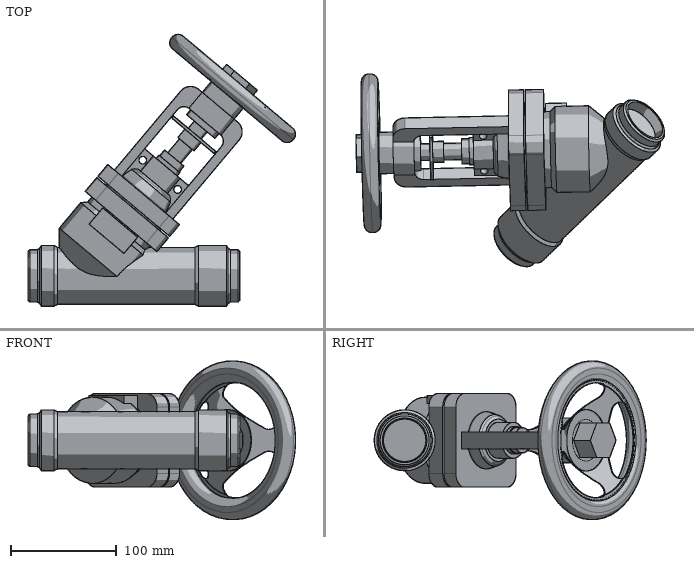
import cadquery as cq
import math

pipe_length = 200.0
pipe_radius = 27.0
collar_radius = 28.8
left_collar_end = 24.5
right_collar_end = 39.0
collar_taper = 3.5
collar_shoulder = 12.7
spigot_radius = 24.9
spigot_length = 8.8
spigot_chamfer = 1.8
flare_length = 2.3
flare_rise = 1.3
socket_mouth_radius = 21.0
socket_floor_radius = 20.0
socket_depth = 10.0

stem_angle = 50.0
stem_foot_x = -55.2

body_cone_top = 24.7
body_shoulder = 56.2
neck_bottom = 61.0
lower_flange_bottom = 67.0
lower_flange_top = 84.0
upper_flange_bottom = 85.7
upper_flange_top = 100.2
dome_foot = 101.2
dome_rim = 111.2
dome_shoulder = 113.2
dome_top = 115.2
ear_top = 134.0
gland_top = ear_top
packing_top = 138.0
follower_top = 145.2
stem_collar_bottom = 162.2
stop_plate_bottom = 172.5
stop_plate_top = 175.2
bush_bottom = 184.0
sleeve_bottom = 190.0
yoke_top = 209.7
wheel_bottom = 223.0
wheel_top = 238.7
nut_top = 244.7

body_radius = 40.7
body_cone_angle = 40.0
body_cone_tip_radius = 12.0
neck_radius = 36.0
flange_side = 88.5
flange_corner = 13.0
gasket_radius = 33.5
pad_width = 43.0
pad_bottom = 45.7
pad_height = 20.0
pad_inner = 28.0
pad_outer = 42.4

dome_base_radius = 27.0
dome_rim_radius = 24.3
dome_shoulder_radius = 22.8
dome_top_radius = 20.0
gland_radius = 17.0
packing_radius = 13.0
follower_radius = 12.0
stem_radius = 8.0
stem_collar_radius = 10.0
bush_radius = 17.5
sleeve_radius = 21.3
spindle_nut_radius = 19.7
stop_plate_length = 52.0
stop_plate_end_width = 20.0
stop_plate_mid_width = 33.0

yoke_width = 72.0
yoke_opening = 54.0
yoke_thickness = 16.0
yoke_outer_corner = 12.0
yoke_inner_corner = 8.0
ear_thickness = 8.0
ear_hole_radius = 3.5
ear_hole_offset = 21.5
ear_hole_height = 124.5

wheel_radius = 75.0
rim_outer_flat = 68.2
rim_inner_flat = 62.6
rim_inner_radius = 54.8
hub_radius = 29.0
web_slope = 28.0
web_dish_radius = 53.0
web_outer_radius = 60.0
web_thickness = 1.0
spoke_count = 3
window_distance = 29.8
window_reach = 54.2
window_corner = 7.2
nut_across_corners = 38.0


def cylinder(radius, bottom, top):
    return cq.Workplane("XY").workplane(offset=bottom).circle(radius).extrude(top - bottom)


def spigot_end(x_end, side):
    """Profile points of one pipe end, from the collar shoulder to the socket floor on the axis.

    side is +1 for the end at +X and -1 for the end at -X.
    """
    spots = [
        (collar_shoulder, collar_radius),
        (spigot_length + flare_length, spigot_radius + flare_rise),
        (spigot_length, spigot_radius),
        (spigot_chamfer, spigot_radius),
        (0, spigot_radius - spigot_chamfer),
        (0, socket_mouth_radius),
        (socket_depth, socket_floor_radius),
        (socket_depth, 0),
    ]
    return [(x_end - side * inset, radius) for inset, radius in spots]


def make_pipe():
    half = pipe_length / 2
    left_collar = -half + left_collar_end
    right_collar = half - right_collar_end
    outline = spigot_end(-half, -1)[::-1]
    outline += [
        (left_collar, collar_radius),
        (left_collar + collar_taper, pipe_radius),
        (right_collar - collar_taper, pipe_radius),
        (right_collar, collar_radius),
    ]
    outline += spigot_end(half, 1)
    return cq.Workplane("XY").polyline(outline).close().revolve(360, (0, 0, 0), (1, 0, 0))


def make_body():
    cone_height = (body_radius - body_cone_tip_radius) / math.tan(math.radians(body_cone_angle))
    return (
        cq.Workplane("XZ")
        .moveTo(0, body_cone_top - cone_height)
        .lineTo(body_cone_tip_radius, body_cone_top - cone_height)
        .lineTo(body_radius, body_cone_top)
        .lineTo(body_radius, body_shoulder)
        .lineTo(neck_radius, neck_bottom)
        .lineTo(neck_radius, lower_flange_bottom)
        .lineTo(0, lower_flange_bottom)
        .close()
        .revolve(360, (0, 0, 0), (0, 1, 0))
    )


def make_pad():
    """Flat name-plate pad on the +Z side of the body."""
    pad = cq.Workplane("XY").box(
        pad_width, pad_outer - pad_inner, pad_height, centered=(True, False, False)
    )
    return pad.translate((0, pad_inner, pad_bottom))


def make_flange(bottom, top):
    return (
        cq.Workplane("XY")
        .workplane(offset=bottom)
        .rect(flange_side, flange_side)
        .extrude(top - bottom)
        .edges("|Z")
        .fillet(flange_corner)
    )


def make_dome():
    return (
        cq.Workplane("XZ")
        .moveTo(0, upper_flange_top)
        .lineTo(dome_base_radius, upper_flange_top)
        .lineTo(dome_base_radius, dome_foot)
        .lineTo(dome_rim_radius, dome_rim)
        .lineTo(dome_shoulder_radius, dome_shoulder)
        .lineTo(dome_top_radius, dome_top)
        .lineTo(0, dome_top)
        .close()
        .revolve(360, (0, 0, 0), (0, 1, 0))
    )


def make_stem():
    steps = [
        (gland_radius, dome_top, gland_top),
        (packing_radius, gland_top, packing_top),
        (follower_radius, packing_top, follower_top),
        (stem_radius, follower_top, bush_bottom),
        (stem_collar_radius, stem_collar_bottom, stop_plate_bottom),
        (bush_radius, bush_bottom, sleeve_bottom),
        (sleeve_radius, sleeve_bottom, yoke_top),
        (spindle_nut_radius, yoke_top, wheel_bottom),
    ]
    stem = make_dome()
    for radius, bottom, top in steps:
        stem = stem.union(cylinder(radius, bottom, top))
    return stem


def make_stop_plate():
    """Plate across the stem whose two long edges swell smoothly towards the middle."""
    x = stop_plate_length / 2
    end_y = stop_plate_end_width / 2
    mid_y = stop_plate_mid_width / 2
    return (
        cq.Workplane("XY")
        .workplane(offset=stop_plate_bottom)
        .moveTo(-x, -end_y)
        .spline([(0, -mid_y), (x, -end_y)], tangents=[(1, 0), (1, 0)], includeCurrent=True)
        .lineTo(x, end_y)
        .spline([(0, mid_y), (-x, end_y)], tangents=[(-1, 0), (-1, 0)], includeCurrent=True)
        .close()
        .extrude(stop_plate_top - stop_plate_bottom)
    )


def upright_block(width, thickness, bottom, top):
    return (
        cq.Workplane("XY").workplane(offset=bottom).rect(width, thickness).extrude(top - bottom)
    )


def make_yoke():
    frame = upright_block(yoke_width, yoke_thickness, upper_flange_top, yoke_top)
    frame = frame.edges("|Y and >Z").fillet(yoke_outer_corner)
    opening = upright_block(yoke_opening, yoke_thickness, upper_flange_top, sleeve_bottom)
    opening = opening.edges("|Y and >Z").fillet(yoke_inner_corner)
    ears = upright_block(yoke_opening, ear_thickness, upper_flange_top, ear_top)
    holes = (
        cq.Workplane("XZ")
        .pushPoints([(-ear_hole_offset, ear_hole_height), (ear_hole_offset, ear_hole_height)])
        .circle(ear_hole_radius)
        .extrude(ear_thickness, both=True)
    )
    return frame.cut(opening).union(ears.cut(holes))


def make_rim():
    middle = (wheel_bottom + wheel_top) / 2
    half_height = (wheel_top - wheel_bottom) / 2
    diagonal = math.sqrt(0.5)
    outer = wheel_radius - rim_outer_flat
    inner = rim_inner_flat - rim_inner_radius
    outer_x = rim_outer_flat + outer * diagonal
    inner_x = rim_inner_flat - inner * diagonal
    arc_height = half_height * diagonal
    return (
        cq.Workplane("XZ")
        .moveTo(rim_inner_flat, wheel_bottom)
        .lineTo(rim_outer_flat, wheel_bottom)
        .threePointArc((outer_x, middle - arc_height), (wheel_radius, middle))
        .threePointArc((outer_x, middle + arc_height), (rim_outer_flat, wheel_top))
        .lineTo(rim_inner_flat, wheel_top)
        .threePointArc((inner_x, middle + arc_height), (rim_inner_radius, middle))
        .threePointArc((inner_x, middle - arc_height), (rim_inner_flat, wheel_bottom))
        .close()
        .revolve(360, (0, 0, 0), (0, 1, 0))
    )


def make_window():
    """Cutter bounded by a straight edge near the hub and by a circle inside the rim."""
    height = nut_top - wheel_bottom
    disc = cylinder(window_reach, wheel_bottom, nut_top)
    beyond_hub = cq.Workplane("XY").box(
        window_reach, 2 * window_reach, height, centered=(False, True, False)
    )
    beyond_hub = beyond_hub.translate((window_distance, 0, wheel_bottom))
    return disc.intersect(beyond_hub).edges("|Z").fillet(window_corner)


def make_web():
    """Thin sheet, flat at the hub and dished up to the rim, with one window between each two spokes."""
    rise = (web_dish_radius - hub_radius) * math.tan(math.radians(web_slope))
    web = (
        cq.Workplane("XZ")
        .moveTo(0, wheel_bottom)
        .lineTo(hub_radius, wheel_bottom)
        .lineTo(web_dish_radius, wheel_bottom + rise)
        .lineTo(web_outer_radius, wheel_bottom + rise)
        .lineTo(web_outer_radius, wheel_bottom + rise + web_thickness)
        .lineTo(web_dish_radius, wheel_bottom + rise + web_thickness)
        .lineTo(hub_radius, wheel_bottom + web_thickness)
        .lineTo(0, wheel_bottom + web_thickness)
        .close()
        .revolve(360, (0, 0, 0), (0, 1, 0))
    )
    window = make_window()
    for i in range(spoke_count):
        angle = 360.0 * i / spoke_count
        web = web.cut(window.rotate((0, 0, 0), (0, 0, 1), angle))
    return web


def make_handwheel():
    nut = (
        cq.Workplane("XY")
        .workplane(offset=wheel_bottom)
        .polygon(6, nut_across_corners)
        .extrude(nut_top - wheel_bottom)
    )
    return make_web().union(make_rim()).union(nut)


def make_stem_assembly():
    """Everything on the stem axis, built upright with the stem along local Z."""
    assembly = make_body()
    parts = [
        make_pad(),
        make_flange(lower_flange_bottom, lower_flange_top),
        cylinder(gasket_radius, lower_flange_top, upper_flange_bottom),
        make_flange(upper_flange_bottom, upper_flange_top),
        make_stem(),
        make_stop_plate(),
        make_yoke(),
        make_handwheel(),
    ]
    for part in parts:
        assembly = assembly.union(part)
    return assembly


lean = math.radians(stem_angle)
stem_plane = cq.Plane(
    origin=(stem_foot_x, 0, 0),
    xDir=(-math.sin(lean), math.cos(lean), 0),
    normal=(math.cos(lean), math.sin(lean), 0),
)
stem_assembly = make_stem_assembly().val().moved(cq.Location(stem_plane))

result = make_pipe().union(cq.Workplane("XY").add(stem_assembly))